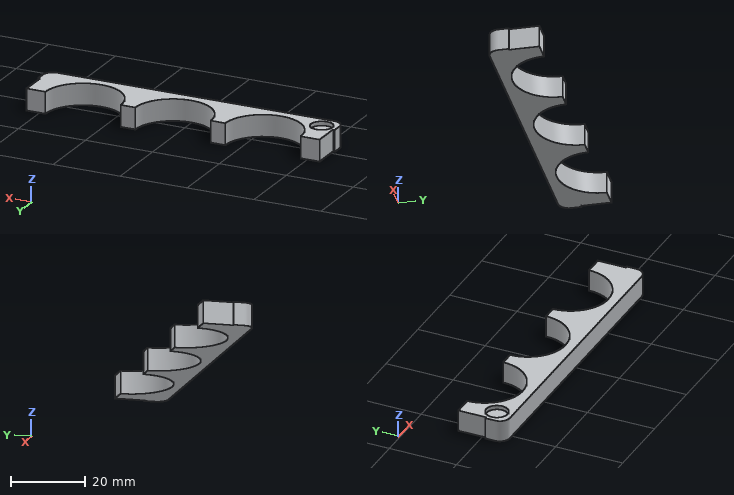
import cadquery as cq

length = 88.65
depth = 14.3
height = 6.4

corner_radius = 3.0
end_step = 0.5
step_y = 5.9

cradle_count = 3
cradle_pitch = 26.9
cradle_radius = 11.3

pocket_diameter = 6.4
pocket_depth = 1.2
pocket_from_end = 4.5
pocket_y = 4.6


def make_bar():
    """Stepped bar centred on X, with its front face on Y = 0 and its base on Z = 0."""
    front = (
        cq.Workplane("XY")
        .box(length, step_y, height, centered=(True, False, False))
        .faces("<Y")
        .edges("|Z")
        .fillet(corner_radius)
    )
    rear = (
        cq.Workplane("XY")
        .box(length - 2 * end_step, depth - corner_radius, height, centered=(True, False, False))
        .translate((0, corner_radius, 0))
    )
    return front.union(rear)


def make_cradles():
    """Cylinders centred on the rear face, evenly spaced along the bar."""
    first_x = -cradle_pitch * (cradle_count - 1) / 2
    centres = [(first_x + i * cradle_pitch, depth) for i in range(cradle_count)]
    return cq.Workplane("XY").pushPoints(centres).circle(cradle_radius).extrude(height)


def make_pocket():
    """Shallow round recess sunk from the top face."""
    return (
        cq.Workplane("XY", origin=(0, 0, height - pocket_depth))
        .center(-length / 2 + pocket_from_end, pocket_y)
        .circle(pocket_diameter / 2)
        .extrude(pocket_depth)
    )


result = make_bar().cut(make_cradles()).cut(make_pocket())